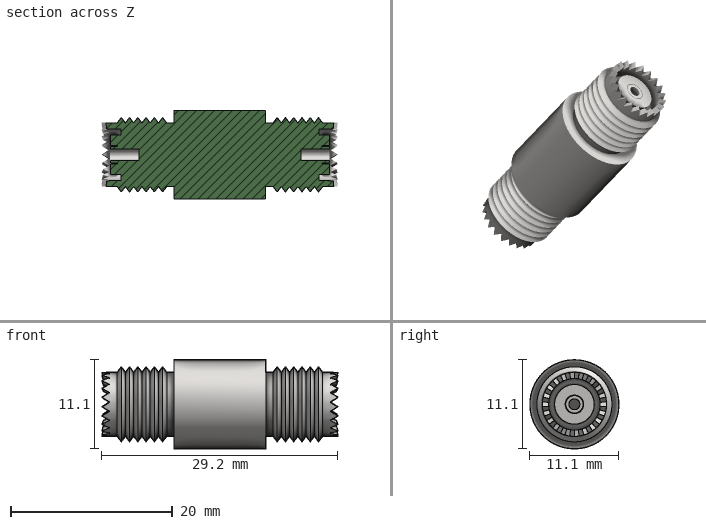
import cadquery as cq
import math

total_length = 29.2
half_length = total_length / 2
collar_diameter = 11.05
collar_length = 11.4
barrel_radius = 3.97

thread_crest_radius = 4.65
thread_pitch = 1.02
thread_turns = 6
thread_end_gap = 1.9

tooth_count = 21
tooth_depth = 0.93

bore_radius = 3.18
bore_depth = 2.35
insulator_radius = 2.45
insulator_face_depth = 1.05
contact_radius = 1.08
contact_groove_radius = 1.15
contact_groove_depth = 0.88
contact_hole_radius = 0.67
contact_hole_depth = 3.5


def turned_blank():
    """Revolve the whole outer outline, whose left half mirrors its right half."""
    thread_start = half_length - thread_end_gap - thread_turns * thread_pitch
    right_outline = [
        (collar_length / 2, collar_diameter / 2),
        (collar_length / 2, barrel_radius),
        (thread_start, barrel_radius),
    ]
    for turn in range(thread_turns):
        root = thread_start + turn * thread_pitch
        right_outline.append((root + thread_pitch / 2, thread_crest_radius))
        right_outline.append((root + thread_pitch, barrel_radius))
    right_outline += [(half_length, barrel_radius), (half_length, 0)]
    left_outline = [(-x, radius) for x, radius in reversed(right_outline)]
    return (
        cq.Workplane("XZ")
        .polyline(left_outline + right_outline)
        .close()
        .revolve(360, (0, 0, 0), (1, 0, 0))
    )


def cylinder_inward(radius, depth_from, depth_to):
    """Cylinder on the X axis between two depths measured inward from the right end."""
    return (
        cq.Workplane("YZ", origin=(half_length - depth_to, 0, 0))
        .circle(radius)
        .extrude(depth_to - depth_from)
    )


def socket_cutter():
    """Space around the raised insulator, plus the contact's hole and the thin gap around it."""
    bore = cylinder_inward(bore_radius, 0, bore_depth)
    insulator = cylinder_inward(insulator_radius, insulator_face_depth, bore_depth)
    groove_bottom = insulator_face_depth + contact_groove_depth
    groove = cylinder_inward(contact_groove_radius, insulator_face_depth, groove_bottom).cut(
        cylinder_inward(contact_radius, insulator_face_depth, groove_bottom)
    )
    hole_bottom = insulator_face_depth + contact_hole_depth
    hole = cylinder_inward(contact_hole_radius, insulator_face_depth, hole_bottom)
    return bore.cut(insulator).union(groove).union(hole)


def tooth_gap_cutters():
    """V notches between the teeth; one notch is at the top, so one tooth is at the bottom."""
    half_angle = math.pi / tooth_count
    half_width_at_end_face = barrel_radius * math.sin(half_angle)
    overshoot = 0.3
    mouth_half_width = half_width_at_end_face * (tooth_depth + overshoot) / tooth_depth
    notch = (
        cq.Workplane("XY", origin=(0, 0, insulator_radius))
        .polyline([
            (half_length - tooth_depth, 0),
            (half_length + overshoot, mouth_half_width),
            (half_length + overshoot, -mouth_half_width),
        ])
        .close()
        .extrude(thread_crest_radius - insulator_radius)
    )
    return [
        notch.rotate((0, 0, 0), (1, 0, 0), index * 360 / tooth_count)
        for index in range(tooth_count)
    ]


def end_cutter():
    """Everything removed from the right end: the socket and the gaps between teeth."""
    cutter = socket_cutter()
    for notch in tooth_gap_cutters():
        cutter = cutter.union(notch)
    return cutter


right_end = end_cutter()
result = turned_blank().cut(right_end).cut(right_end.mirror("YZ"))